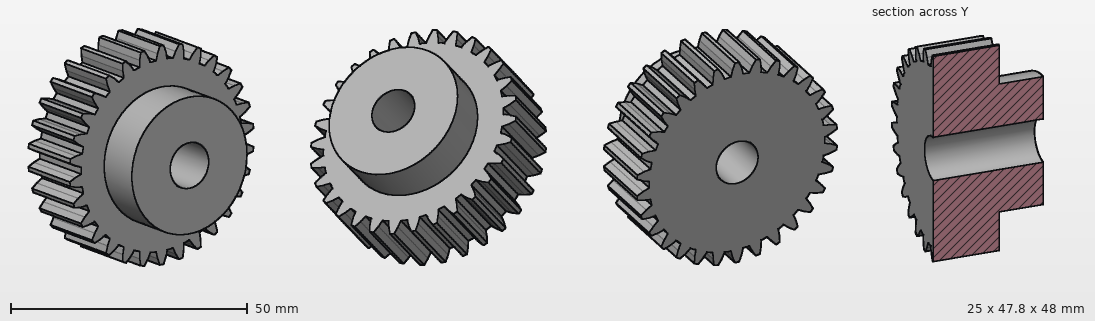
import cadquery as cq
import math

module = 1.5
tooth_count = 30

tip_width = 1.0
pitch_width = 2.17
root_width = 2.93

face_width = 15.0
hub_length = 10.0
hub_diameter = 30.0
bore_diameter = 10.0

pitch_radius = module * tooth_count / 2
tip_radius = pitch_radius + module
root_radius = pitch_radius - module
tooth_pitch = 2 * math.pi / tooth_count


def half_angle(width, radius):
    """Half the angle that a chord of the given width spans at a radius."""
    return math.asin(width / 2 / radius)


def polar(radius, angle):
    """(Y, Z) point at an angle measured from +Z towards +Y."""
    return (radius * math.sin(angle), radius * math.cos(angle))


def make_toothed_wheel():
    """Each flank is two flats meeting at the pitch circle; tips and roots are arcs."""
    tip_half = half_angle(tip_width, tip_radius)
    pitch_half = half_angle(pitch_width, pitch_radius)
    root_half = half_angle(root_width, root_radius)

    outline = cq.Workplane("YZ").moveTo(*polar(root_radius, -root_half))
    for tooth in range(tooth_count):
        center = tooth * tooth_pitch
        gap_center = center + tooth_pitch / 2
        next_root = center + tooth_pitch - root_half
        outline = outline.lineTo(*polar(pitch_radius, center - pitch_half))
        outline = outline.lineTo(*polar(tip_radius, center - tip_half))
        outline = outline.threePointArc(polar(tip_radius, center), polar(tip_radius, center + tip_half))
        outline = outline.lineTo(*polar(pitch_radius, center + pitch_half))
        outline = outline.lineTo(*polar(root_radius, center + root_half))
        outline = outline.threePointArc(polar(root_radius, gap_center), polar(root_radius, next_root))
    return outline.close().extrude(face_width)


def make_hub():
    """Plain round hub on the +X face of the wheel."""
    return cq.Workplane("YZ").workplane(offset=face_width).circle(hub_diameter / 2).extrude(hub_length)


def make_bore():
    """Through bore along the gear axis."""
    return cq.Workplane("YZ").circle(bore_diameter / 2).extrude(face_width + hub_length)


result = make_toothed_wheel().union(make_hub()).cut(make_bore())